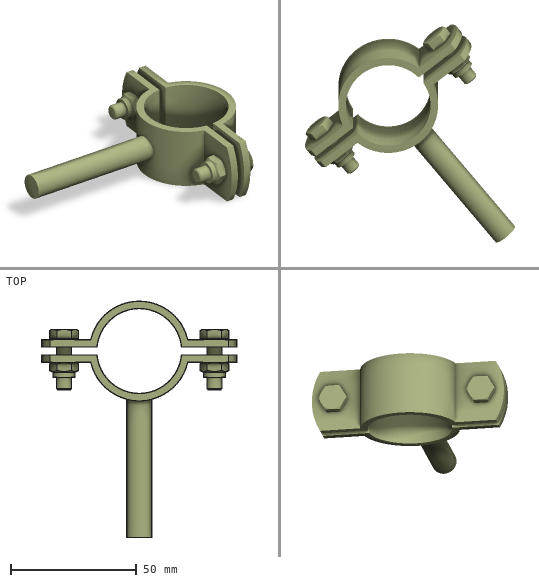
import cadquery as cq
import math

overall_length = 94.35
clamp_height = 25.0
clamp_width = 78.0
strap_thickness = 3.0
gap = 3.0
ring_outer_radius = 19.9
ring_inner_radius = ring_outer_radius - strap_thickness
tab_end_radius = 25.0
tab_outer_face = gap / 2 + strap_thickness

rod_diameter = 10.0
rod_end = overall_length - ring_outer_radius

bolt_offset = 30.0
shank_diameter = 6.0
shank_length = 20.0
tip_chamfer = 0.5
hex_flats = 10.0
hex_corners = hex_flats / math.cos(math.radians(30))
head_height = 4.1
washer_face_diameter = 8.7
washer_face_height = 0.4
head_top_diameter = 10.0

nut_hex_height = 4.0
nut_height = 5.9
collar_diameter = 8.9
nut_seat_diameter = 9.3
corner_chamfer_angle = math.radians(30)


def cylinder_along_y(diameter, y_start, y_end):
    """Cylinder around the Y axis, from y_start forward (toward -Y) to y_end."""
    plane = cq.Workplane("XZ", origin=(0, y_start, 0))
    return plane.circle(diameter / 2).extrude(y_start - y_end)


def hexagon_along_y(y_back, y_front):
    """Hexagonal prism around the Y axis, with two corners on the X direction."""
    plane = cq.Workplane("XZ", origin=(0, y_back, 0))
    return plane.polygon(6, hex_corners).extrude(y_back - y_front)


def corner_cone(y_small, y_large, small_diameter):
    """Cone around Y that widens from y_small to y_large; it trims the corners of a hexagon."""
    small_radius = small_diameter / 2
    large_radius = small_radius + abs(y_large - y_small) / math.tan(corner_chamfer_angle)
    return (
        cq.Workplane("XY")
        .moveTo(0, y_small)
        .lineTo(small_radius, y_small)
        .lineTo(large_radius, y_large)
        .lineTo(0, y_large)
        .close()
        .revolve(360, (0, 0, 0), (0, 1, 0))
    )


def tab_band():
    """Flat plate for both tabs of the front half, with arc-shaped ends."""
    half_height = clamp_height / 2
    tip_x = clamp_width / 2
    arc_rise = tab_end_radius - math.sqrt(tab_end_radius**2 - half_height**2)
    corner_x = tip_x - arc_rise
    return (
        cq.Workplane("XZ", origin=(0, -gap / 2, 0))
        .moveTo(-corner_x, -half_height)
        .lineTo(corner_x, -half_height)
        .threePointArc((tip_x, 0), (corner_x, half_height))
        .lineTo(-corner_x, half_height)
        .threePointArc((-tip_x, 0), (-corner_x, -half_height))
        .close()
        .extrude(strap_thickness)
    )


def make_front_half():
    """Half clamp on the -Y side, without the rod."""
    disc = cq.Workplane("XY").circle(ring_outer_radius).extrude(clamp_height / 2, both=True)
    front_side = cq.Workplane("XY").box(
        clamp_width, ring_outer_radius, clamp_height, centered=(True, False, True)
    ).translate((0, -gap / 2 - ring_outer_radius, 0))
    bore = cq.Workplane("XY").circle(ring_inner_radius).extrude(clamp_height / 2, both=True)
    half = disc.intersect(front_side).union(tab_band()).cut(bore)
    for side in (-1, 1):
        hole = cylinder_along_y(shank_diameter, 0, -tab_outer_face)
        half = half.cut(hole.translate((side * bolt_offset, 0, 0)))
    return half


def make_rod_half():
    """Front half clamp with the rod, which starts inside the ring wall."""
    rod_start = -(ring_inner_radius + strap_thickness / 2)
    return make_front_half().union(cylinder_along_y(rod_diameter, rod_start, -rod_end))


def make_plain_half():
    """Back half clamp, the mirror image of the front one without its rod."""
    return make_front_half().mirror("XZ")


def make_bolt():
    """Hexagon-head bolt, its head seated on the back tab."""
    seat = tab_outer_face
    shank = cylinder_along_y(shank_diameter, seat, seat - shank_length).faces("<Y").chamfer(tip_chamfer)
    washer_face = cylinder_along_y(washer_face_diameter, seat + washer_face_height, seat)
    head_top = seat + head_height
    head_bottom = seat + washer_face_height
    head = hexagon_along_y(head_top, head_bottom)
    head = head.intersect(corner_cone(head_top, head_bottom, head_top_diameter))
    return head.union(washer_face).union(shank)


def make_nut():
    """Collared lock nut, seated on the front tab."""
    seat = -tab_outer_face
    hex_front = seat - nut_hex_height
    hexagon = hexagon_along_y(seat, hex_front)
    hexagon = hexagon.intersect(corner_cone(seat, hex_front, nut_seat_diameter))
    hexagon = hexagon.intersect(corner_cone(hex_front, seat, collar_diameter))
    collar = cylinder_along_y(collar_diameter, seat, seat - nut_height)
    bore = cylinder_along_y(shank_diameter, seat, seat - nut_height)
    return hexagon.union(collar).cut(bore)


rod_half = make_rod_half()
plain_half = make_plain_half()

bolts = []
nuts = []
for side in (-1, 1):
    bolt_position = (side * bolt_offset, 0, 0)
    bolts.append(make_bolt().translate(bolt_position).solids().val())
    nuts.append(make_nut().translate(bolt_position).solids().val())

result = cq.Compound.makeCompound([rod_half.solids().val(), plain_half.solids().val(), *bolts, *nuts])